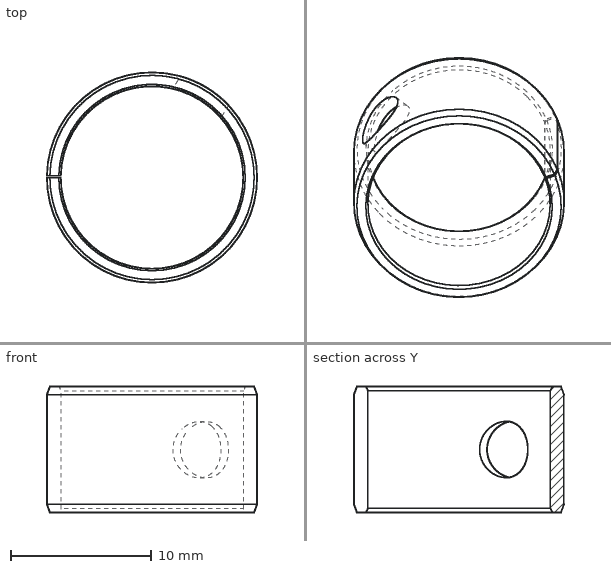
import cadquery as cq
import math

outer_diameter = 15.0
wall = 1.0
height = 9.0
outer_radius = outer_diameter / 2
inner_radius = outer_radius - wall

outer_bevel_height = 0.6
outer_bevel_angle = 20.0
outer_bevel_width = outer_bevel_height * math.tan(math.radians(outer_bevel_angle))
inner_bevel_width = 0.15
inner_bevel_height = 0.3

slit_width = 0.12

hole_diameter = 4.0
hole_direction = 59.0


def bevelled_ring():
    """Revolve the wall section about Z."""
    top = height / 2
    rim_radius = outer_radius - outer_bevel_width
    section = [
        (inner_radius, -top + inner_bevel_height),
        (inner_radius + inner_bevel_width, -top),
        (rim_radius, -top),
        (outer_radius, -top + outer_bevel_height),
        (outer_radius, top - outer_bevel_height),
        (rim_radius, top),
        (inner_radius + inner_bevel_width, top),
        (inner_radius, top - inner_bevel_height),
    ]
    return cq.Workplane("XZ").polyline(section).close().revolve(360, (0, 0), (0, 1))


def slit_cutter():
    """Block reaching from the axis out through the -X wall."""
    return cq.Workplane("XY").box(
        outer_diameter, slit_width, 2 * height, centered=(False, False, True)
    ).translate((-outer_diameter, 0, 0))


def hole_cutter():
    """Cylinder reaching from the axis out through one side of the wall."""
    cylinder = cq.Workplane("YZ").circle(hole_diameter / 2).extrude(outer_diameter)
    return cylinder.rotate((0, 0, 0), (0, 0, 1), hole_direction)


result = bevelled_ring().cut(slit_cutter()).cut(hole_cutter())